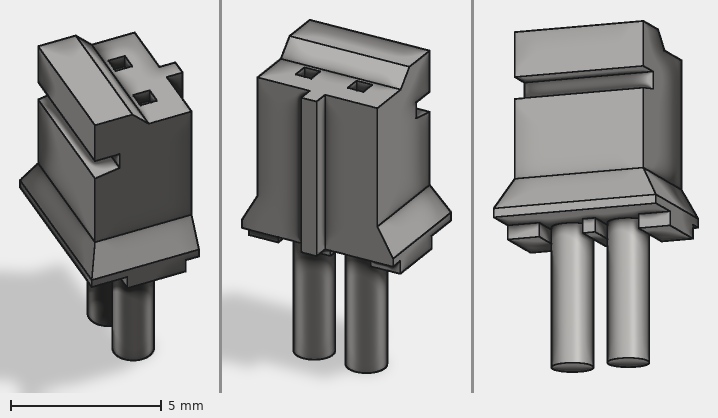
import cadquery as cq

total_height = 11.15
shelf_z = 10.56
notch_top_z = 9.61
notch_inner_z = 9.02
notch_outer_z = 8.86
flare_top_z = 6.13
flange_top_z = 5.08
flange_bottom_z = 4.78
feet_bottom_z = 4.3

body_width = 4.59
body_depth = 3.53
flange_width = 5.8
flange_depth = 3.92
shelf_depth = 1.57
slope_run = total_height - shelf_z
notch_depth = 0.9

rib_width = 0.59
rib_depth = 0.58

wire_pitch = 2.0
wire_diameter = 1.4
wire_y = -1.55
feet_depth = 2.14
feet_gap = 1.55
socket_size = 0.6
socket_y = -1.12
socket_depth = 0.45
wire_positions = [(-wire_pitch / 2, wire_y), (wire_pitch / 2, wire_y)]


def block(width, depth, height, x, y, bottom_z):
    """Box centred on (x, y), standing on bottom_z."""
    return cq.Workplane("XY").box(width, depth, height, centered=(True, True, False)).translate((x, y, bottom_z))


def make_body():
    """Side profile with the stepped top and latch notch, extruded across X."""
    profile = [
        (0, flange_bottom_z),
        (0, shelf_z),
        (-shelf_depth, shelf_z),
        (-shelf_depth - slope_run, total_height),
        (-body_depth, total_height),
        (-body_depth, notch_top_z),
        (-body_depth + notch_depth, notch_top_z),
        (-body_depth + notch_depth, notch_inner_z),
        (-body_depth, notch_outer_z),
        (-body_depth, flange_bottom_z),
    ]
    return cq.Workplane("YZ").polyline(profile).close().extrude(body_width / 2, both=True)


def make_flange():
    """Base plate and the flare tapering up to the body; the back stays flat."""
    plate = block(flange_width, flange_depth, flange_top_z - flange_bottom_z, 0, -flange_depth / 2, flange_bottom_z)
    flare = (
        cq.Workplane("XY", origin=(0, 0, flange_top_z))
        .center(0, -flange_depth / 2)
        .rect(flange_width, flange_depth)
        .workplane(offset=flare_top_z - flange_top_z)
        .center(0, (flange_depth - body_depth) / 2)
        .rect(body_width, body_depth)
        .loft(ruled=True)
    )
    return plate.union(flare)


def make_feet():
    """Full-width bar under the flange, split by an open gap at each wire."""
    height = flange_bottom_z - feet_bottom_z
    feet = block(flange_width, feet_depth, height, 0, wire_y, feet_bottom_z)
    for x, y in wire_positions:
        feet = feet.cut(block(feet_gap, feet_depth, height, x, y, feet_bottom_z))
    return feet


def make_rib():
    return block(rib_width, rib_depth, shelf_z - flange_bottom_z, 0, rib_depth / 2, flange_bottom_z)


def make_wires():
    return cq.Workplane("XY").pushPoints(wire_positions).circle(wire_diameter / 2).extrude(flange_top_z)


def make_sockets():
    """Square blind holes sunk into the shelf, one above each wire."""
    sockets = cq.Workplane("XY", origin=(0, 0, shelf_z))
    sockets = sockets.pushPoints([(x, socket_y) for x, _ in wire_positions])
    return sockets.rect(socket_size, socket_size).extrude(-socket_depth)


housing = make_body().union(make_flange()).union(make_rib()).union(make_feet())
result = housing.union(make_wires()).cut(make_sockets())